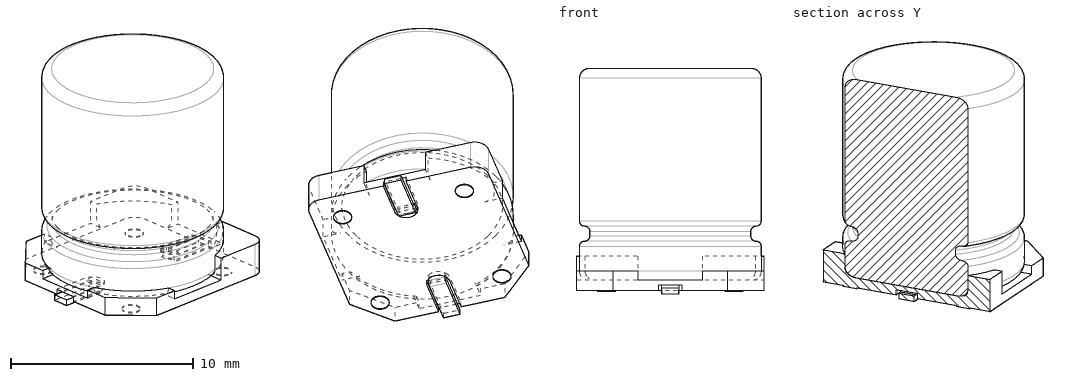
import cadquery as cq

total_height = 12.4
base_bottom = 0.2
seat_height = 0.77
low_post_height = 1.26
high_post_height = 2.1

can_diameter = 10.0
can_top_radius = 0.55
can_bottom_radius = low_post_height - seat_height
groove_bottom = 2.63
groove_radius = 0.29
groove_neck_height = 0.25

base_width = 10.3
base_chamfer = 2.0
base_corner_radius = 0.8
post_spacing = 3.53
foot_diameter = 1.0
foot_height = 0.05
foot_offset = 3.5

lead_span = 11.0
lead_width = 0.95
lead_thickness = 0.35
lead_bend_radius = 0.25
lead_inner_y = 2.69
slot_width = 1.3
slot_top = 0.5

can_radius = can_diameter / 2
base_half = base_width / 2


def make_can():
    """Revolved can with rounded ends and a crimp groove."""
    r = groove_radius
    neck_radius = can_radius - 2 * r
    neck_bottom = groove_bottom + 2 * r
    neck_top = neck_bottom + groove_neck_height
    groove_top = neck_top + 2 * r
    profile = (
        cq.Workplane("XZ")
        .moveTo(0, seat_height)
        .lineTo(can_radius - can_bottom_radius, seat_height)
        .radiusArc((can_radius, seat_height + can_bottom_radius), -can_bottom_radius)
        .lineTo(can_radius, groove_bottom)
        .radiusArc((can_radius - r, groove_bottom + r), -r)
        .radiusArc((neck_radius, neck_bottom), r)
        .lineTo(neck_radius, neck_top)
        .radiusArc((can_radius - r, groove_top - r), r)
        .radiusArc((can_radius, groove_top), -r)
        .lineTo(can_radius, total_height - can_top_radius)
        .radiusArc((can_radius - can_top_radius, total_height), -can_top_radius)
        .lineTo(0, total_height)
        .close()
    )
    return profile.revolve(360, (0, 0, 0), (0, 1, 0))


def make_base_outline():
    """Base plan extruded to the height of the tallest posts."""
    block = (
        cq.Workplane("XY", origin=(0, 0, base_bottom))
        .rect(base_width, base_width)
        .extrude(high_post_height - base_bottom)
    )
    block = block.edges("|Z and <Y").chamfer(base_chamfer)
    return block.edges("|Z and >Y").fillet(base_corner_radius)


def box_above(bottom, size_x, size_y, center_y=0):
    """Cutting box that reaches from the given height to above the posts."""
    return (
        cq.Workplane("XY", origin=(0, center_y, bottom))
        .rect(size_x, size_y)
        .extrude(high_post_height)
    )


def make_feet():
    return (
        cq.Workplane("XY", origin=(0, 0, base_bottom))
        .rect(2 * foot_offset, 2 * foot_offset, forConstruction=True)
        .vertices()
        .circle(foot_diameter / 2)
        .extrude(-foot_height)
    )


def make_lead_slot():
    """Round-ended slot in the underside, open at the -Y edge."""
    end_center_y = lead_inner_y + lead_thickness
    slot_height = slot_top - base_bottom
    straight = cq.Workplane("XY", origin=(0, 0, base_bottom)).box(
        slot_width, base_half - end_center_y, slot_height, centered=(True, True, False)
    )
    straight = straight.translate((0, -(base_half + end_center_y) / 2, 0))
    round_end = (
        cq.Workplane("XY", origin=(0, -end_center_y, base_bottom))
        .circle(slot_width / 2)
        .extrude(slot_height)
    )
    return straight.union(round_end)


def make_lead():
    """Flat lead towards -Y whose inner end turns up to the slot roof."""
    bend_start = lead_inner_y + lead_bend_radius
    profile = (
        cq.Workplane("YZ", origin=(-lead_width / 2, 0, 0))
        .moveTo(-lead_span / 2, 0)
        .lineTo(-bend_start, 0)
        .radiusArc((-lead_inner_y, lead_bend_radius), -lead_bend_radius)
        .lineTo(-lead_inner_y, slot_top)
        .lineTo(-lead_inner_y - lead_thickness, slot_top)
        .lineTo(-lead_inner_y - lead_thickness, lead_thickness)
        .lineTo(-lead_span / 2, lead_thickness)
        .close()
    )
    return profile.extrude(lead_width)


def make_base(can_body):
    """Insulating base with corner posts around the can, feet and two leads."""
    base = make_base_outline()
    base = base.cut(box_above(seat_height, post_spacing, base_width))
    base = base.cut(box_above(seat_height, base_width, post_spacing))
    base = base.cut(box_above(low_post_height, base_width, base_half, -base_half / 2))
    base = base.cut(can_body)
    base = base.union(make_feet())
    for angle in (0, 180):
        base = base.cut(make_lead_slot().rotate((0, 0, 0), (0, 0, 1), angle))
        base = base.union(make_lead().rotate((0, 0, 0), (0, 0, 1), angle))
    return base


can = make_can()
base = make_base(can)

result = cq.Compound.makeCompound([can.val(), *base.solids().vals()])